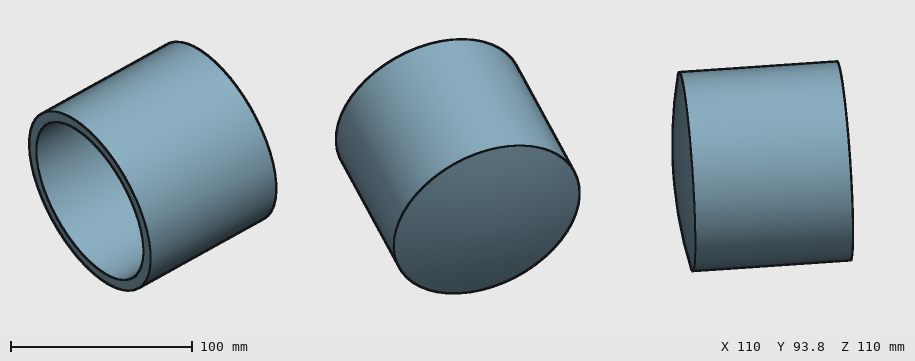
import cadquery as cq
import math

outer_diameter = 110.0
wall = 6.6
overall_length = 93.81
dome_rise = 6.6

outer_radius = outer_diameter / 2
inner_radius = outer_radius - wall

dome_radius = (outer_radius**2 + dome_rise**2) / (2 * dome_rise)
dome_centre = overall_length - dome_radius
inner_dome_radius = dome_radius - wall


def sphere_y(radius, distance):
    """Y of a dome sphere at a given distance from the cap axis."""
    return dome_centre + math.sqrt(radius**2 - distance**2)


def domed_plug(radius, sphere_radius):
    """Solid cylinder along Y from the open end, closed by a spherical dome."""
    profile = (
        cq.Workplane("ZY")
        .lineTo(radius, 0)
        .lineTo(radius, sphere_y(sphere_radius, radius))
        .threePointArc(
            (radius / 2, sphere_y(sphere_radius, radius / 2)),
            (0, sphere_y(sphere_radius, 0)),
        )
        .close()
    )
    return profile.revolve(360, (0, 0, 0), (0, 1, 0))


body = domed_plug(outer_radius, dome_radius)
cavity = domed_plug(inner_radius, inner_dome_radius)
result = body.cut(cavity)